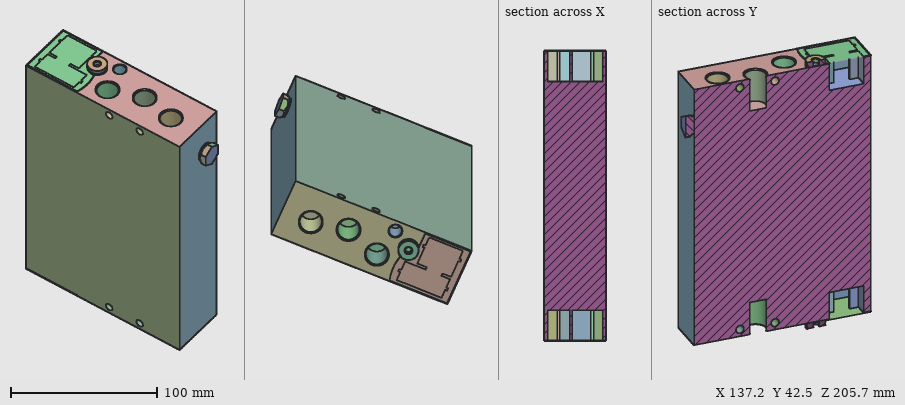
import cadquery as cq
import math

BLOCK_LENGTH = 130.8
BLOCK_DEPTH = 42.5
TOTAL_HEIGHT = 205.7
SEAT_HEIGHT = 1.2
HEAD_HEIGHT = 2.9
BLOCK_HEIGHT = TOTAL_HEIGHT - 2 * (SEAT_HEIGHT + HEAD_HEIGHT)

CROSS_HOLE_DIAMETER = 5.5
CROSS_HOLE_X = (71.0, 96.9)
CROSS_HOLE_Z = 93.2

PORT_DIAMETER = 15.0
PORT_CHAMFER = 0.8
PORT_DEPTH = 24.7
PORT_CENTRES = ((58.6, -6.5), (83.5, 2.5), (109.5, -2.5))
PILOT_DIAMETER = 8.6
PILOT_CHAMFER = 0.51
PILOT_DEPTH = 16.5
PILOT_CENTRE = (53.7, 14.2)

PLATE_THICKNESS = 0.55
PLATE_INSET = 0.6
PLATE_SHOULDER_X = 34.4
PLATE_END_X = 43.2
PLATE_BULGE = 1.5
PLATE_BULGE_TOP = -1.0

POCKET_DEPTH = 20.5
POCKET_LEFT = 5.5
UPPER_RIGHT = 30.6
UPPER_TOP = 19.0
UPPER_BOTTOM = -1.9
LOWER_RIGHT = 38.9
LOWER_TOP = -3.7
LOWER_BOTTOM = -18.5
NECK_LEFT = 12.0
NECK_RIGHT = 23.7
POCKET_CORNER_RADIUS = 1.0
KEY_WIDTH = 1.9
KEY_REACH = 1.5
UPPER_KEY_Y = 11.7
LOWER_KEY_Y = -11.3

HEAD_DIAMETER = 14.0
HEAD_CHAMFER = 0.1
SCREW_CENTRE = (40.5, 6.0)
SOCKET_DIAMETER = 4.5
SOCKET_CHAMFER = 0.51
SOCKET_DEPTH = 3.5

PLUG_LENGTH = 6.4
PLUG_ACROSS_FLATS = 14.5
PLUG_Y = 7.2
PLUG_Z = 71.2
PLUG_NECK_DIAMETER = 13.5
PLUG_NECK_LENGTH = 1.0
PLUG_CONE_LENGTH = 1.9

BLOCK_TOP = BLOCK_HEIGHT / 2
SEAT_TOP = BLOCK_TOP + SEAT_HEIGHT


def mirrored(shape):
    """The same shape on the opposite Z end."""
    return shape.mirror("XY")


def disc(centre, diameter, bottom, height):
    """An upright cylinder."""
    return cq.Workplane("XY", origin=(*centre, bottom)).circle(diameter / 2).extrude(height)


def rectangle(x_min, x_max, y_min, y_max, bottom, height):
    """An upright box given by its limits in plan."""
    size = (x_max - x_min, y_max - y_min, height)
    return cq.Workplane("XY").box(*size, centered=False).translate((x_min, y_min, bottom))


def chamfered_hole(centre, diameter, chamfer, depth, top):
    """Cutter for a blind round hole with a chamfered mouth."""
    radius = diameter / 2
    profile = (
        cq.Workplane("XZ")
        .polyline([
            (0, -depth),
            (radius, -depth),
            (radius, -chamfer),
            (radius + chamfer, 0),
            (0, 0),
        ])
        .close()
    )
    return profile.revolve(360, (0, 0), (0, 1)).translate((*centre, top))


def cover_plate():
    """Thin plate with one bulging edge."""
    screw_x, screw_y = SCREW_CENTRE
    y_max = BLOCK_DEPTH / 2 - PLATE_INSET
    y_min = -y_max
    bulge_middle = (PLATE_BULGE_TOP + y_min) / 2
    return (
        cq.Workplane("XY", origin=(0, 0, BLOCK_TOP))
        .moveTo(PLATE_INSET, y_min)
        .lineTo(PLATE_END_X, y_min)
        .threePointArc((PLATE_END_X + PLATE_BULGE, bulge_middle), (PLATE_END_X, PLATE_BULGE_TOP))
        .lineTo(screw_x, PLATE_BULGE_TOP)
        .lineTo(screw_x, screw_y)
        .lineTo(PLATE_SHOULDER_X, screw_y)
        .lineTo(PLATE_SHOULDER_X, y_max)
        .lineTo(PLATE_INSET, y_max)
        .close()
        .extrude(PLATE_THICKNESS)
    )


def connector_pocket():
    """Cutter for two keyed fields joined by a neck."""
    floor = BLOCK_TOP - POCKET_DEPTH
    pocket = rectangle(POCKET_LEFT, UPPER_RIGHT, UPPER_BOTTOM, UPPER_TOP, floor, POCKET_DEPTH)
    pocket = pocket.edges("|Z and >Y").fillet(POCKET_CORNER_RADIUS)
    pocket = pocket.union(
        rectangle(POCKET_LEFT, LOWER_RIGHT, LOWER_BOTTOM, LOWER_TOP, floor, POCKET_DEPTH)
    )
    pocket = pocket.union(
        rectangle(NECK_LEFT, NECK_RIGHT, LOWER_TOP, UPPER_BOTTOM, floor, POCKET_DEPTH)
    )
    for right, key_y in ((UPPER_RIGHT, UPPER_KEY_Y), (LOWER_RIGHT, LOWER_KEY_Y)):
        keys = rectangle(
            POCKET_LEFT - KEY_REACH,
            right + KEY_REACH,
            key_y - KEY_WIDTH / 2,
            key_y + KEY_WIDTH / 2,
            floor,
            POCKET_DEPTH,
        )
        pocket = pocket.union(keys)
    return pocket


def make_housing():
    """Block with its connector pockets, ports and cross holes."""
    housing = rectangle(
        0, BLOCK_LENGTH, -BLOCK_DEPTH / 2, BLOCK_DEPTH / 2, -BLOCK_TOP, BLOCK_HEIGHT
    )
    cross_holes = (
        cq.Workplane("XZ")
        .pushPoints([(x, z) for x in CROSS_HOLE_X for z in (-CROSS_HOLE_Z, CROSS_HOLE_Z)])
        .circle(CROSS_HOLE_DIAMETER / 2)
        .extrude(BLOCK_DEPTH / 2, both=True)
    )
    housing = housing.cut(cross_holes)

    cutters = [
        chamfered_hole(centre, PORT_DIAMETER, PORT_CHAMFER, PORT_DEPTH, BLOCK_TOP)
        for centre in PORT_CENTRES
    ]
    cutters.append(
        chamfered_hole(PILOT_CENTRE, PILOT_DIAMETER, PILOT_CHAMFER, PILOT_DEPTH, BLOCK_TOP)
    )
    cutters.append(connector_pocket())
    for cutter in cutters:
        housing = housing.cut(cutter).cut(mirrored(cutter))
    return housing


def make_cover():
    """Upper cover: plate, round seat and a screw head with chamfered rims and a socket."""
    seat = disc(SCREW_CENTRE, HEAD_DIAMETER, BLOCK_TOP, SEAT_HEIGHT)
    head = disc(SCREW_CENTRE, HEAD_DIAMETER, SEAT_TOP, HEAD_HEIGHT)
    head = head.faces("<Z or >Z").edges().chamfer(HEAD_CHAMFER)
    socket = chamfered_hole(
        SCREW_CENTRE, SOCKET_DIAMETER, SOCKET_CHAMFER, SOCKET_DEPTH, SEAT_TOP + HEAD_HEIGHT
    )
    return cover_plate().union(seat).union(head).cut(socket)


def make_plug():
    """Hexagonal plug, corners along Z, with a round neck and a cone against the block."""
    across_corners = PLUG_ACROSS_FLATS / math.cos(math.pi / 6)
    corner_radius = across_corners / 2
    neck_radius = PLUG_NECK_DIAMETER / 2
    cone_end = PLUG_NECK_LENGTH + PLUG_CONE_LENGTH
    hexagon = (
        cq.Workplane("YZ")
        .transformed(rotate=(0, 0, 90))
        .polygon(6, across_corners)
        .extrude(PLUG_LENGTH)
    )
    turned = (
        cq.Workplane("XY")
        .polyline([
            (0, 0),
            (0, neck_radius),
            (PLUG_NECK_LENGTH, neck_radius),
            (cone_end, corner_radius),
            (PLUG_LENGTH, corner_radius),
            (PLUG_LENGTH, 0),
        ])
        .close()
        .revolve(360, (0, 0), (1, 0))
    )
    return hexagon.intersect(turned).translate((BLOCK_LENGTH, PLUG_Y, PLUG_Z))


housing = make_housing()
upper_cover = make_cover()
covers = [upper_cover, mirrored(upper_cover)]
plug = make_plug()

result = cq.Compound.makeCompound([
    housing.val(),
    *[cover.val() for cover in covers],
    plug.val(),
])